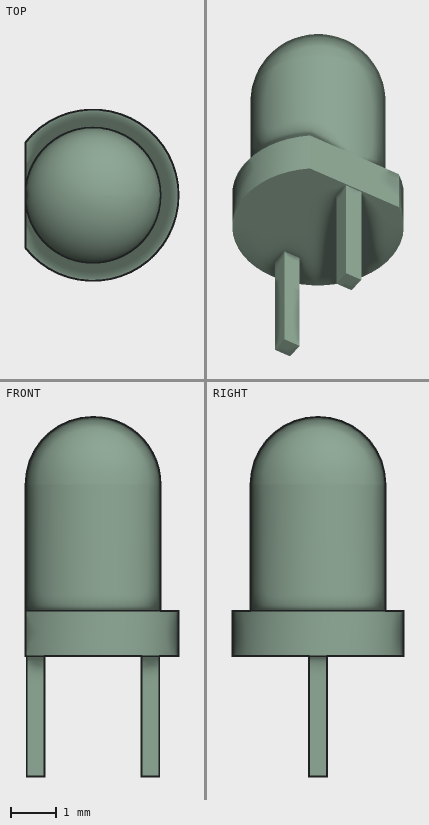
import cadquery as cq

lens_diameter = 3.0
lens_radius = lens_diameter / 2
lens_straight_height = 2.8

flange_diameter = 3.8
flange_radius = flange_diameter / 2
flange_height = 1.0
flat_distance = lens_radius

lead_pitch = 2.54
lead_width = 0.4
lead_length = 2.67


def make_housing():
    """Flange and domed lens, moulded as one piece."""
    flange = cq.Workplane("XY").circle(flange_radius).extrude(flange_height)
    flat_side_keeper = (
        cq.Workplane("XY")
        .box(flat_distance + flange_radius, flange_diameter, flange_height, centered=(False, True, False))
        .translate((-flat_distance, 0, 0))
    )
    flange = flange.intersect(flat_side_keeper)

    dome_base = flange_height + lens_straight_height
    dome_middle = lens_radius * 0.5**0.5
    lens = (
        cq.Workplane("XZ")
        .moveTo(0, 0)
        .lineTo(lens_radius, 0)
        .lineTo(lens_radius, dome_base)
        .threePointArc((dome_middle, dome_base + dome_middle), (0, dome_base + lens_radius))
        .close()
        .revolve(360, (0, 0, 0), (0, 1, 0))
    )
    return flange.union(lens)


def make_lead(x):
    """One square lead centred at x, its top end against the flange."""
    return cq.Workplane("XY").center(x, 0).rect(lead_width, lead_width).extrude(-lead_length)


housing = make_housing()
leads = [make_lead(side * lead_pitch / 2) for side in (-1, 1)]

result = cq.Compound.makeCompound([housing.val(), *[lead.val() for lead in leads]])